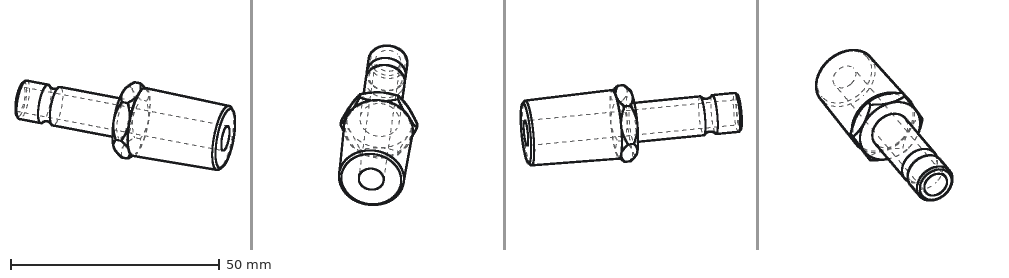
import cadquery as cq

total_length = 52.0
hex_start = 26.0
hex_length = 4.0
hex_end = hex_start + hex_length

bore_diameter = 6.05
shank_radius = 4.75
shank_chamfer = 0.5

groove_start = 6.0
groove_end = 9.0
groove_floor_radius = 4.0

hex_corner_diameter = 18.45
hex_face_radius = 7.95
hex_chamfer = hex_corner_diameter / 2 - hex_face_radius

body_large_radius = 8.3
body_small_radius = 7.85
body_chamfer = 0.6


def turned(profile):
    """Revolve a closed profile of (distance along X, radius) about the X axis."""
    return profile.close().revolve(360, (0, 0, 0), (1, 0, 0))


def make_shank():
    groove_middle = (groove_start + groove_end) / 2
    profile = (
        cq.Workplane("XY")
        .lineTo(0, shank_radius - shank_chamfer)
        .lineTo(shank_chamfer, shank_radius)
        .lineTo(groove_start, shank_radius)
        .threePointArc((groove_middle, groove_floor_radius), (groove_end, shank_radius))
        .lineTo(hex_start, shank_radius)
        .lineTo(hex_start, 0)
    )
    return turned(profile)


def make_hex_collar():
    prism = (
        cq.Workplane("YZ")
        .workplane(offset=hex_start)
        .polygon(6, hex_corner_diameter)
        .extrude(hex_length)
    )
    corner_radius = hex_corner_diameter / 2
    envelope = turned(
        cq.Workplane("XY")
        .moveTo(hex_start, 0)
        .lineTo(hex_start, hex_face_radius)
        .lineTo(hex_start + hex_chamfer, corner_radius)
        .lineTo(hex_end - hex_chamfer, corner_radius)
        .lineTo(hex_end, hex_face_radius)
        .lineTo(hex_end, 0)
    )
    return prism.intersect(envelope)


def make_body():
    profile = (
        cq.Workplane("XY")
        .moveTo(hex_end, 0)
        .lineTo(hex_end, body_large_radius)
        .lineTo(total_length - body_chamfer, body_small_radius)
        .lineTo(total_length, body_small_radius - body_chamfer)
        .lineTo(total_length, 0)
    )
    return turned(profile)


def make_bore():
    return cq.Workplane("YZ").circle(bore_diameter / 2).extrude(total_length)


result = make_shank().union(make_hex_collar()).union(make_body()).cut(make_bore())